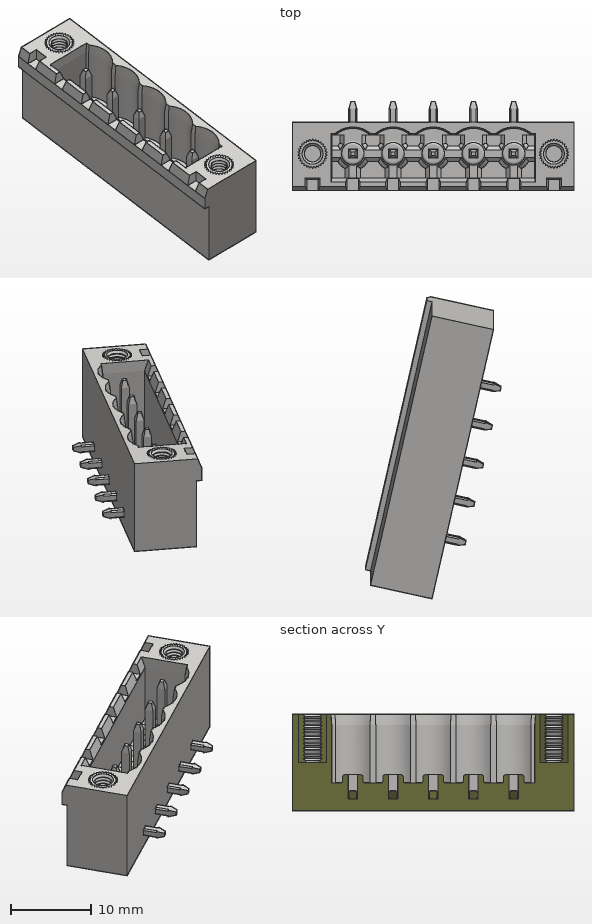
import cadquery as cq
import math


LENGTH = 35.0
HEIGHT = 12.0
BACK_Y = 8.5
LIP_DEPTH = 0.65
LIP_HEIGHT = 3.0
LIP_CHAMFER_RUN = 0.5
NOTCH_DEPTH = 1.25

PIN_COUNT = 5
PITCH = LENGTH / 7
AXIS_Y = 4.6
PIN_XS = [(i - (PIN_COUNT - 1) / 2) * PITCH for i in range(PIN_COUNT)]
INSERT_XS = [-3 * PITCH, 3 * PITCH]

SOCKET_HALF_LENGTH = 12.6
SOCKET_FRONT_Y = 1.58
SOCKET_BACK_Y = 6.9
SOCKET_FLOOR_Z = 3.0
LEAD_IN_DEPTH = 1.4
LEAD_IN_END = 0.1
LEAD_IN_FRONT = 0.52
LEAD_IN_BACK = 0.18
SCALLOP_RADIUS = 3.15

RIDGE_HEIGHT = 0.5
RIDGE_HALF_WIDTH = 0.5
BACK_RIDGE_HALF_WIDTH = 1.12
HUB_RADIUS = 3.2 / 2
BOSS_RADIUS = 1.4
BOSS_HEIGHT = 1.0
BOSS_ROUNDING = 0.3
RIDGE_TOP_Z = SOCKET_FLOOR_Z + RIDGE_HEIGHT
BOSS_TOP_Z = RIDGE_TOP_Z + BOSS_HEIGHT

NOTCH_TOP_WIDTH = 1.82
NOTCH_FLOOR_WIDTH = 1.4
SLOT_TOP_REACH = 1.58
SLOT_FLOOR_REACH = 1.35

PIN_SIZE = 1.0
PIN_HOLE_SIZE = 1.12
PIN_TIP_SIZE = 0.5
PIN_TAPER = 0.95
PIN_TOP_Z = 10.85
LEG_Z = 2.0
LEG_END_Y = 11.1
LEG_CHAMFER = 0.18

INSERT_DEPTH = 6.0
KNURL_ROOT_RADIUS = 3.2 / 2
KNURL_TIP_RADIUS = 1.82
KNURL_TEETH = 30
BORE_RADIUS = 1.0
BORE_CHAMFER = 0.28
THREAD_PITCH = 0.45
THREAD_DEPTH = THREAD_PITCH / 2
THREAD_COUNT = 12


def box(x0, x1, y0, y1, z0, z1):
    size = (x1 - x0, y1 - y0, z1 - z0)
    return cq.Workplane("XY").box(*size, centered=False).translate((x0, y0, z0))


def rectangle_wire(x0, x1, y0, y1, z):
    corners = [(x0, y0, z), (x1, y0, z), (x1, y1, z), (x0, y1, z)]
    return cq.Wire.makePolygon([cq.Vector(*corner) for corner in corners], close=True)


def frustum(lower, upper):
    """Straight-sided solid between two level rectangles (x0, x1, y0, y1, z)."""
    wires = [rectangle_wire(*lower), rectangle_wire(*upper)]
    return cq.Workplane(cq.Solid.makeLoft(wires, True))


def make_block():
    """Block with the chamfered lip along its top front edge."""
    profile = [
        (LIP_DEPTH, 0),
        (BACK_Y, 0),
        (BACK_Y, HEIGHT),
        (LIP_CHAMFER_RUN, HEIGHT),
        (0, HEIGHT - NOTCH_DEPTH),
        (0, HEIGHT - LIP_HEIGHT),
        (LIP_DEPTH, HEIGHT - LIP_HEIGHT),
    ]
    return cq.Workplane("YZ").polyline(profile).close().extrude(LENGTH / 2, both=True)


def make_scallop():
    """Round bay in the socket's back wall, about a pin axis at the origin."""
    lead_in_z = HEIGHT - LEAD_IN_DEPTH
    mouth_radius = SCALLOP_RADIUS + LEAD_IN_BACK
    profile = [
        (0, RIDGE_TOP_Z),
        (SCALLOP_RADIUS, RIDGE_TOP_Z),
        (SCALLOP_RADIUS, lead_in_z),
        (mouth_radius, HEIGHT),
        (0, HEIGHT),
    ]
    turned = cq.Workplane("XZ").polyline(profile).close().revolve(360, (0, 0), (0, 1))
    behind_wall = box(
        -mouth_radius, mouth_radius, SOCKET_BACK_Y - AXIS_Y, mouth_radius, RIDGE_TOP_Z, HEIGHT
    )
    return turned.intersect(behind_wall)


def make_socket():
    lead_in_z = HEIGHT - LEAD_IN_DEPTH
    half = SOCKET_HALF_LENGTH
    mouth_half = half + LEAD_IN_END
    socket = box(-half, half, SOCKET_FRONT_Y, SOCKET_BACK_Y, SOCKET_FLOOR_Z, HEIGHT)
    lead_in = frustum(
        (-half, half, SOCKET_FRONT_Y, SOCKET_BACK_Y, lead_in_z),
        (-mouth_half, mouth_half, SOCKET_FRONT_Y - LEAD_IN_FRONT, SOCKET_BACK_Y + LEAD_IN_BACK, HEIGHT),
    )
    socket = socket.union(lead_in)
    for x in PIN_XS:
        socket = socket.union(make_scallop().translate((x, AXIS_Y, 0)))
    return socket


def ridge_profile(plane, half_width):
    """45-degree flanked section standing on the socket floor."""
    foot = half_width + RIDGE_HEIGHT
    points = [
        (-foot, SOCKET_FLOOR_Z),
        (foot, SOCKET_FLOOR_Z),
        (half_width, RIDGE_TOP_Z),
        (-half_width, RIDGE_TOP_Z),
    ]
    return cq.Workplane(plane).polyline(points).close()


def make_pin_support():
    """Front and back ridges, conical hub and rounded boss, about a pin axis at the origin."""
    front_ridge = ridge_profile("XZ", RIDGE_HALF_WIDTH).extrude(AXIS_Y - SOCKET_FRONT_Y)
    back_ridge = ridge_profile("XZ", BACK_RIDGE_HALF_WIDTH).extrude(AXIS_Y - SOCKET_BACK_Y)
    fillet = HUB_RADIUS - BOSS_RADIUS
    diagonal = math.sqrt(0.5)
    hub = (
        cq.Workplane("XZ")
        .moveTo(0, SOCKET_FLOOR_Z)
        .lineTo(HUB_RADIUS + RIDGE_HEIGHT, SOCKET_FLOOR_Z)
        .lineTo(HUB_RADIUS, RIDGE_TOP_Z)
        .threePointArc(
            (HUB_RADIUS - fillet * diagonal, RIDGE_TOP_Z + fillet * (1 - diagonal)),
            (BOSS_RADIUS, RIDGE_TOP_Z + fillet),
        )
        .lineTo(BOSS_RADIUS, BOSS_TOP_Z - BOSS_ROUNDING)
        .threePointArc(
            (
                BOSS_RADIUS - BOSS_ROUNDING * (1 - diagonal),
                BOSS_TOP_Z - BOSS_ROUNDING * (1 - diagonal),
            ),
            (BOSS_RADIUS - BOSS_ROUNDING, BOSS_TOP_Z),
        )
        .lineTo(0, BOSS_TOP_Z)
        .close()
        .revolve(360, (0, 0), (0, 1))
    )
    return hub.union(front_ridge).union(back_ridge)


def make_long_ridge():
    """Ridge along the whole socket, joining the hubs."""
    ridge = ridge_profile("YZ", RIDGE_HALF_WIDTH).extrude(SOCKET_HALF_LENGTH, both=True)
    return ridge.translate((0, AXIS_Y, 0))


def make_notch(top_reach, floor_reach):
    """Taper-sided notch from the front of the lip back to the given depths."""
    half_floor = NOTCH_FLOOR_WIDTH / 2
    half_top = NOTCH_TOP_WIDTH / 2
    return frustum(
        (-half_floor, half_floor, 0, floor_reach, HEIGHT - NOTCH_DEPTH),
        (-half_top, half_top, 0, top_reach, HEIGHT),
    )


def make_housing():
    housing = make_block().cut(make_socket()).union(make_long_ridge())
    for x in PIN_XS:
        housing = housing.union(make_pin_support().translate((x, AXIS_Y, 0)))
        housing = housing.cut(make_notch(SOCKET_FRONT_Y, SOCKET_FRONT_Y).translate((x, 0, 0)))
        housing = housing.cut(make_pin_hole(x)).cut(make_pin(x))
    for x in INSERT_XS:
        housing = housing.cut(make_notch(SLOT_TOP_REACH, SLOT_FLOOR_REACH).translate((x, 0, 0)))
        seat = make_knurled_blank().translate((x, AXIS_Y, HEIGHT))
        housing = housing.cut(seat)
    return housing


def square_bar(length):
    return cq.Workplane("XY").rect(PIN_SIZE, PIN_SIZE).extrude(length)


def make_pin_hole(x):
    """Square hole from the boss top down to the foot of the upright."""
    bottom_z = LEG_Z - PIN_SIZE / 2
    hole = cq.Workplane("XY").rect(PIN_HOLE_SIZE, PIN_HOLE_SIZE).extrude(BOSS_TOP_Z - bottom_z)
    return hole.translate((x, AXIS_Y, bottom_z))


def make_tip(base_z):
    """Blunt pyramid that ends a pin, standing on the given level."""
    half = PIN_SIZE / 2
    half_tip = PIN_TIP_SIZE / 2
    return frustum(
        (-half, half, -half, half, base_z),
        (-half_tip, half_tip, -half_tip, half_tip, base_z + PIN_TAPER),
    )


def make_pin(x):
    """Upright contact with a chamfered solder leg pointing out of the back."""
    bottom_z = LEG_Z - PIN_SIZE / 2
    upright_length = PIN_TOP_Z - PIN_TAPER - bottom_z
    upright = square_bar(upright_length).union(make_tip(upright_length)).translate((0, 0, bottom_z))
    leg_length = LEG_END_Y - PIN_TAPER - AXIS_Y
    leg = square_bar(leg_length).edges("|Z").chamfer(LEG_CHAMFER).union(make_tip(leg_length))
    leg = leg.rotate((0, 0, 0), (1, 0, 0), -90).translate((0, 0, LEG_Z))
    return upright.union(leg).translate((x, AXIS_Y, 0))


def make_knurled_blank():
    """Solid toothed plug hanging down from the origin."""
    half_step = math.pi / KNURL_TEETH
    outline = []
    for i in range(2 * KNURL_TEETH):
        radius = KNURL_ROOT_RADIUS if i % 2 == 0 else KNURL_TIP_RADIUS
        outline.append((radius * math.cos(i * half_step), radius * math.sin(i * half_step)))
    return cq.Workplane("XY").polyline(outline).close().extrude(-INSERT_DEPTH)


def make_thread_bore():
    """Bore with a chamfered mouth and ring-shaped V grooves for the thread."""
    profile = [(0, 0), (BORE_RADIUS + BORE_CHAMFER, 0), (BORE_RADIUS, -BORE_CHAMFER)]
    for i in range(THREAD_COUNT):
        crest_z = -BORE_CHAMFER - i * THREAD_PITCH
        profile.append((BORE_RADIUS + THREAD_DEPTH, crest_z - THREAD_PITCH / 2))
        profile.append((BORE_RADIUS, crest_z - THREAD_PITCH))
    profile += [(BORE_RADIUS, -INSERT_DEPTH), (0, -INSERT_DEPTH)]
    return cq.Workplane("XZ").polyline(profile).close().revolve(360, (0, 0), (0, 1))


def make_insert(x):
    return make_knurled_blank().cut(make_thread_bore()).translate((x, AXIS_Y, HEIGHT))


housing = make_housing()
pins = [make_pin(x) for x in PIN_XS]
inserts = [make_insert(x) for x in INSERT_XS]

result = cq.Compound.makeCompound(
    [housing.val(), *[pin.val() for pin in pins], *[insert.val() for insert in inserts]]
)